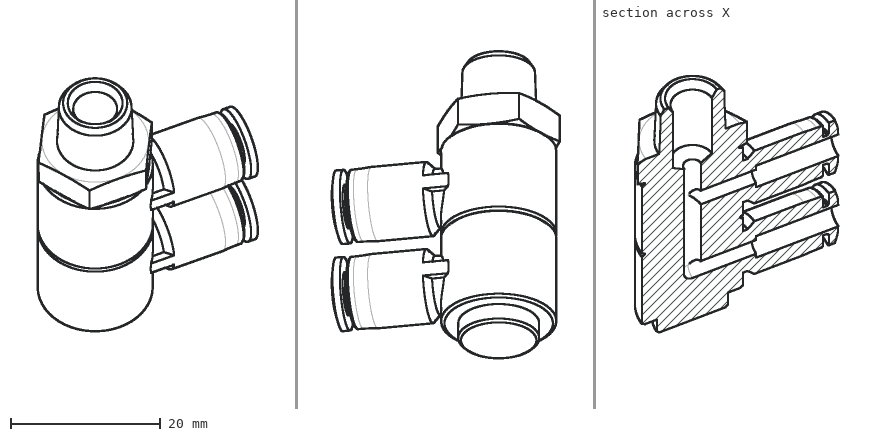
import cadquery as cq
import math

TOTAL_HEIGHT = 41.6
FOOT_HEIGHT = 2.6
BODY_HEIGHT = 13.23
HEX_HEIGHT = 4.58

FOOT_RADIUS = 5.4
FOOT_CHAMFER = 0.37
HEX_FLATS = 14.4
HEX_CORNERS = HEX_FLATS / math.cos(math.radians(30))
HEX_RIM_RADIUS = 7.1
HEX_CHAMFER_HEIGHT = 0.35
THREAD_BASE_RADIUS = 10.2 / 2
THREAD_TOP_RADIUS = 4.85
THREAD_RIM_RADIUS = 4.3
THREAD_CHAMFER_HEIGHT = 0.95

BODY_RADIUS = 7.7
BODY_CHAMFER_HEIGHT = 0.35
BODY_RIM_RADIUS = 7.25

OVERALL_DEPTH = 30.45
PORT_TIP = OVERALL_DEPTH - HEX_CORNERS / 2
PORT_RADIUS = 5
PORT_ROOT_RADIUS = 3.95
PORT_ROOT_END = 8.3
PORT_START = PORT_ROOT_END + PORT_RADIUS - PORT_ROOT_RADIUS
PORT_TAPER_START = 16.85
COLLAR_RADIUS = 4.85
COLLAR_START = 18.8
COLLAR_END = 19.8
COLLAR_CHAMFER = 0.25
BUTTON_RADIUS = 4.95
BUTTON_START = 20.65
BUTTON_EDGE = 21.65
BUTTON_NECK_RADIUS = 5.35 / 2
NECK_FLARE = 0.25
DOME_FLAT_RADIUS = 2.65
DOME_BULGE = 0.65
RIB_THICKNESS = 2.0

BORE_RADIUS = 5.85 / 2
BORE_MOUTH_RADIUS = 3.65
COUNTERSINK_DEPTH = 1.25
BORE_DEPTH = 11.65
BORE_TIP_ANGLE = 118
PASSAGE_RADIUS = 1.25
SOCKET_RADIUS = 3.95 / 2
SOCKET_DEPTH = 12.5

HEX_BOTTOM = FOOT_HEIGHT + 2 * BODY_HEIGHT
HEX_TOP = HEX_BOTTOM + HEX_HEIGHT
BODY_BOTTOMS = [FOOT_HEIGHT, FOOT_HEIGHT + BODY_HEIGHT]
PORT_HEIGHTS = [bottom + BODY_HEIGHT / 2 for bottom in BODY_BOTTOMS]


def cylinder(radius, bottom, height):
    return cq.Workplane("XY").workplane(offset=bottom).circle(radius).extrude(height)


def revolve_upright(profile):
    """Turn (radius, height) points about the vertical axis."""
    return cq.Workplane("XZ").polyline(profile).close().revolve(360, (0, 0), (0, 1))


def make_hexagon():
    blank = (
        cq.Workplane("XY")
        .workplane(offset=HEX_BOTTOM)
        .polygon(6, HEX_CORNERS)
        .extrude(HEX_HEIGHT)
        .rotate((0, 0, 0), (0, 0, 1), 30)
    )
    corner_radius = HEX_CORNERS / 2
    envelope = revolve_upright([
        (0, HEX_BOTTOM),
        (HEX_RIM_RADIUS, HEX_BOTTOM),
        (corner_radius, HEX_BOTTOM + HEX_CHAMFER_HEIGHT),
        (corner_radius, HEX_TOP - HEX_CHAMFER_HEIGHT),
        (HEX_RIM_RADIUS, HEX_TOP),
        (0, HEX_TOP),
    ])
    return blank.intersect(envelope)


def make_thread():
    return revolve_upright([
        (0, HEX_TOP),
        (THREAD_BASE_RADIUS, HEX_TOP),
        (THREAD_TOP_RADIUS, TOTAL_HEIGHT - THREAD_CHAMFER_HEIGHT),
        (THREAD_RIM_RADIUS, TOTAL_HEIGHT),
        (0, TOTAL_HEIGHT),
    ])


def make_body(bottom):
    """Swivel body with both rims chamfered."""
    top = bottom + BODY_HEIGHT
    return revolve_upright([
        (0, bottom),
        (BODY_RIM_RADIUS, bottom),
        (BODY_RADIUS, bottom + BODY_CHAMFER_HEIGHT),
        (BODY_RADIUS, top - BODY_CHAMFER_HEIGHT),
        (BODY_RIM_RADIUS, top),
        (0, top),
    ])


def make_port(height):
    """Turned push-in port pointing along +Y, with a rib on each side of its root."""
    dome_middle_radius = (BUTTON_RADIUS + DOME_FLAT_RADIUS) / 2
    dome_middle = BUTTON_EDGE + DOME_BULGE * (PORT_TIP - BUTTON_EDGE)
    turned = (
        cq.Workplane("XY")
        .lineTo(PORT_ROOT_RADIUS, 0)
        .lineTo(PORT_ROOT_RADIUS, PORT_ROOT_END)
        .lineTo(PORT_RADIUS, PORT_START)
        .lineTo(PORT_RADIUS, PORT_TAPER_START)
        .lineTo(COLLAR_RADIUS, COLLAR_START)
        .lineTo(COLLAR_RADIUS, COLLAR_END - COLLAR_CHAMFER)
        .lineTo(COLLAR_RADIUS - COLLAR_CHAMFER, COLLAR_END)
        .lineTo(BUTTON_NECK_RADIUS, COLLAR_END)
        .lineTo(BUTTON_NECK_RADIUS, BUTTON_START - NECK_FLARE)
        .lineTo(BUTTON_NECK_RADIUS + NECK_FLARE, BUTTON_START)
        .lineTo(BUTTON_RADIUS, BUTTON_START)
        .lineTo(BUTTON_RADIUS, BUTTON_EDGE)
        .threePointArc((dome_middle_radius, dome_middle), (DOME_FLAT_RADIUS, PORT_TIP))
        .lineTo(0, PORT_TIP)
        .close()
        .revolve(360, (0, 0), (0, 1))
    )
    slab = cq.Workplane("XY").box(2 * PORT_RADIUS, 2 * PORT_START, RIB_THICKNESS)
    rib = (
        cq.Workplane("XZ")
        .circle(PORT_RADIUS)
        .extrude(-PORT_START)
        .intersect(slab)
    )
    return turned.union(rib).translate((0, 0, height))


def make_bore():
    """Countersunk bore from the top with a drill-point floor."""
    bore_bottom = TOTAL_HEIGHT - BORE_DEPTH
    tip_height = BORE_RADIUS / math.tan(math.radians(BORE_TIP_ANGLE / 2))
    return revolve_upright([
        (0, bore_bottom - tip_height),
        (BORE_RADIUS, bore_bottom),
        (BORE_RADIUS, TOTAL_HEIGHT - COUNTERSINK_DEPTH),
        (BORE_MOUTH_RADIUS, TOTAL_HEIGHT),
        (0, TOTAL_HEIGHT),
    ])


def make_port_passage(height):
    """Round-ended passage from the vertical axis, widening to the tube socket."""
    passage = cq.Workplane("XZ").circle(PASSAGE_RADIUS).extrude(-PORT_TIP)
    socket = (
        cq.Workplane("XZ", origin=(0, PORT_TIP, 0))
        .circle(SOCKET_RADIUS)
        .extrude(SOCKET_DEPTH)
    )
    round_end = cq.Workplane("XY").sphere(PASSAGE_RADIUS)
    return passage.union(socket).union(round_end).translate((0, 0, height))


foot = cylinder(FOOT_RADIUS, 0, FOOT_HEIGHT).faces("<Z").chamfer(FOOT_CHAMFER)
result = foot.union(make_hexagon()).union(make_thread())

for body_bottom in BODY_BOTTOMS:
    result = result.union(make_body(body_bottom))

for port_height in PORT_HEIGHTS:
    result = result.union(make_port(port_height))

lowest_port = PORT_HEIGHTS[0]
bore_floor = TOTAL_HEIGHT - BORE_DEPTH
riser = cylinder(PASSAGE_RADIUS, lowest_port, bore_floor - lowest_port)
result = result.cut(make_bore()).cut(riser)

for port_height in PORT_HEIGHTS:
    result = result.cut(make_port_passage(port_height))